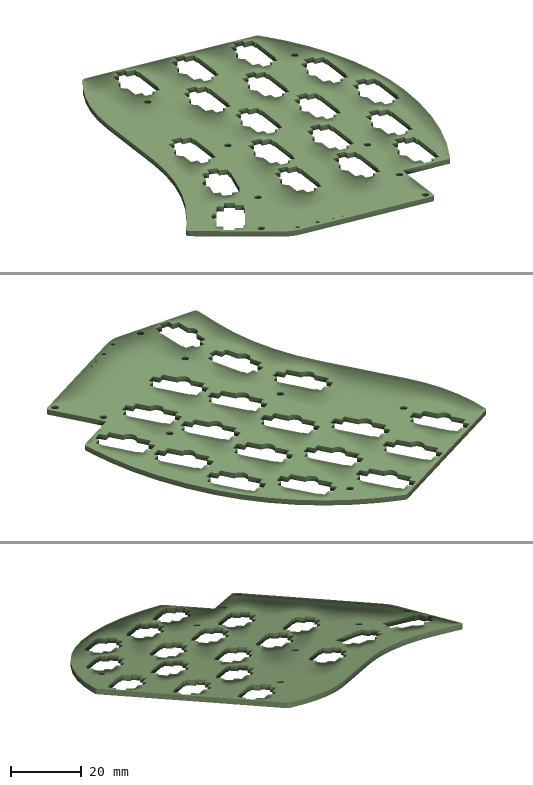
import cadquery as cq
import math

length = 114.0
thickness = 1.6
corner_radius = 1.0

left_bottom_y = 22.3
left_top_y = 78.9
apex_x = 50.7
apex_y = 97.8
shoulder_x = 95.5
shoulder_y = 87.3
notch_y = 71.8
bottom_y = 14.1
bottom_flat_start_x = 28.3
bottom_flat_end_x = 54.4
thumb_arc_radius = 72.8
thumb_angle = 30.0
thumb_edge_length = 9.6
elbow_radius = 10.0

key_pitch = 19.0
first_column_x = 9.5
columns = [(31.0, 3), (43.1, 3), (49.0, 3), (42.4, 3), (40.1, 3)]
thumb_keys = [(54.7, 23.4, 0.0), (75.7, 20.6, -15.0), (95.5, 12.3, -thumb_angle)]

lobe_radius = 2.2
floor_y = -0.7
ear_bottom_y = 1.4
ear_top_y = 4.5
shoulder_top_y = 7.0
opening_top_y = 7.3
floor_half = 6.5
ear_half = 8.7
body_half = 7.3
top_half = 5.6

screw_diameter = 2.2
screw_holes = [
    (16.2, 81.9), (76.2, 71.4), (97.3, 69.8), (112.1, 69.8),
    (57.1, 37.0), (21.8, 31.0), (90.2, 27.9), (107.9, 18.9),
]
peg_diameter = 1.3
peg_holes = [(112.3, 34.7), (112.3, 28.2)]
pin_diameter = 0.7
pin_holes = [(112.5, 42.8), (112.5, 39.7)]


def arc_level_at(start, tip, end):
    """Midpoint of the arc from start to end that runs level at tip (tip is one of its ends)."""
    far = end if tip == start else start
    run = far[0] - tip[0]
    drop = tip[1] - far[1]
    radius = (run**2 + drop**2) / (2 * drop)
    half_turn = math.asin(run / radius) / 2
    return (tip[0] + radius * math.sin(half_turn), tip[1] - radius * (1 - math.cos(half_turn)))


def make_plate():
    turn = math.radians(thumb_angle)
    left_bottom = (0, left_bottom_y)
    left_top = (0, left_top_y)
    apex = (apex_x, apex_y)
    shoulder = (shoulder_x, shoulder_y)
    flat_start = (bottom_flat_start_x, bottom_y)
    flat_end = (bottom_flat_end_x, bottom_y)
    thumb_arc_end = (
        bottom_flat_end_x + thumb_arc_radius * math.sin(turn),
        bottom_y - thumb_arc_radius * (1 - math.cos(turn)),
    )
    thumb_corner = (
        thumb_arc_end[0] + thumb_edge_length * math.cos(turn),
        thumb_arc_end[1] - thumb_edge_length * math.sin(turn),
    )
    elbow = (length, thumb_corner[1] + (length - thumb_corner[0]) / math.tan(turn))
    outer_corner = (length, notch_y)

    plate = (
        cq.Workplane("XY")
        .moveTo(*left_bottom)
        .lineTo(*left_top)
        .threePointArc(arc_level_at(left_top, apex, apex), apex)
        .threePointArc(arc_level_at(apex, apex, shoulder), shoulder)
        .lineTo(shoulder_x, notch_y)
        .lineTo(*outer_corner)
        .lineTo(*elbow)
        .lineTo(*thumb_corner)
        .lineTo(*thumb_arc_end)
        .tangentArcPoint(flat_end, relative=False)
        .lineTo(*flat_start)
        .tangentArcPoint(left_bottom, relative=False)
        .close()
        .extrude(thickness)
    )
    for corner in (left_bottom, left_top, shoulder, outer_corner, thumb_corner):
        plate = round_corner(plate, corner, corner_radius)
    return round_corner(plate, elbow, elbow_radius)


def round_corner(plate, corner, radius):
    nearest = cq.selectors.NearestToPointSelector((*corner, thickness / 2))
    return plate.edges("|Z").edges(nearest).fillet(radius)


def make_key_opening(x, y, angle):
    lobe_half = math.sqrt(lobe_radius**2 - floor_y**2)
    right_side = [
        (floor_half, floor_y),
        (floor_half, ear_bottom_y),
        (ear_half, ear_bottom_y),
        (ear_half, ear_top_y),
        (body_half, ear_top_y),
        (body_half, shoulder_top_y),
        (top_half, shoulder_top_y),
        (top_half, opening_top_y),
    ]
    left_side = [(-px, py) for px, py in reversed(right_side)]
    opening = (
        cq.Workplane("XY")
        .moveTo(lobe_half, floor_y)
        .polyline(right_side + left_side, includeCurrent=True)
        .lineTo(-lobe_half, floor_y)
        .threePointArc((0, -lobe_radius), (lobe_half, floor_y))
        .close()
        .extrude(thickness)
    )
    return opening.rotate((0, 0, 0), (0, 0, 1), angle).translate((x, y, 0))


def make_holes(centres, diameter):
    return cq.Workplane("XY").pushPoints(centres).circle(diameter / 2).extrude(thickness)


result = make_plate()

for column, (lowest_y, count) in enumerate(columns):
    for row in range(count):
        key_x = first_column_x + column * key_pitch
        result = result.cut(make_key_opening(key_x, lowest_y + row * key_pitch, 0))

for key_x, key_y, key_angle in thumb_keys:
    result = result.cut(make_key_opening(key_x, key_y, key_angle))

result = result.cut(make_holes(screw_holes, screw_diameter))
result = result.cut(make_holes(peg_holes, peg_diameter))
result = result.cut(make_holes(pin_holes, pin_diameter))